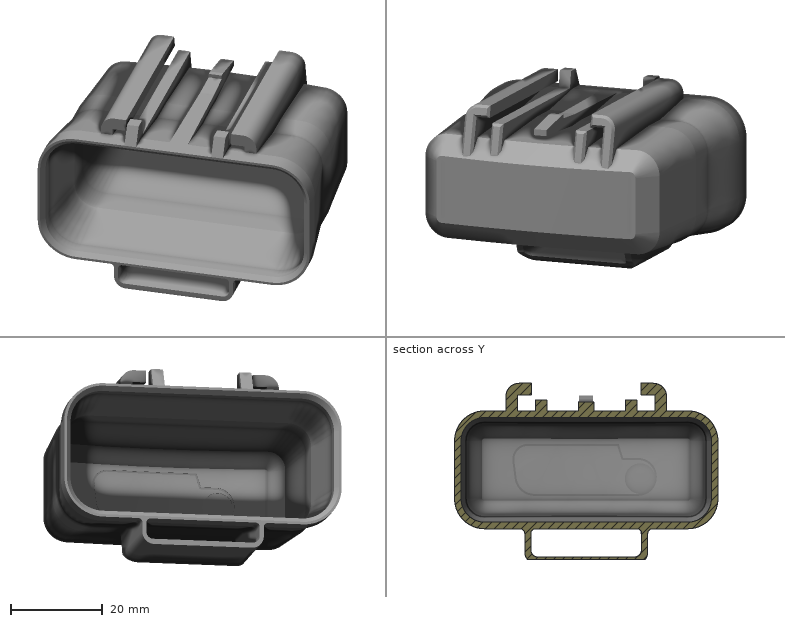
import cadquery as cq

CORE_WIDTH = 44.2
CORE_HEIGHT = 12.5
MOUTH_RADIUS = 8.6
WAIST_RADIUS = 6.65
LIP_LENGTH = 4.1
WAIST_START = 17.7
WAIST_END = 24.55
LENGTH = 48.0
END_DRAFT = 0.07
END_SAG = 1.3
END_CHAMFER = 3.85
WALL = 1.55
INNER_CHAMFER = 3.15
LEAD_IN = 1.0

BODY_TOP = CORE_HEIGHT / 2 + MOUTH_RADIUS
TOTAL_HEIGHT = 39.4
LOOP_BOTTOM = -20.5
TOP = LOOP_BOTTOM + TOTAL_HEIGHT

RAIL_ROOT = 7.05
REAR_LEAN = 0.25
REAR_TOP_Y = 44.15
REAR_EDGE_CHAMFER = 0.55
HOOK_OUTER_X = 17.55
HOOK_INNER_X = 11.85
HOOK_THICKNESS = 2.65
HOOK_RADIUS = 3.0
RIB_OUTER_X = 11.1
RIB_WIDTH = 2.65
RIB_TOP = 15.2
POST_BEVEL = 2.15
POST_END = 5.0
POST_RAMP = 0.6

RIDGE_FRONT_WIDTH = 4.1
RIDGE_REAR_WIDTH = 2.95
RIDGE_RISE_START = 27.55
RIDGE_STEP_START = 34.2
RIDGE_CREST_END = 35.3
RIDGE_REAR = LENGTH - END_CHAMFER
RIDGE_STEP_BASE_Z = 15.2
RIDGE_PEAK_Z = 16.1
RIDGE_REAR_Z = 14.6
RIDGE_TIP_Z = 13.25
RIDGE_ROOT_END = 29.5

LOOP_WIDTH = 26.9
LOOP_RADIUS = 2.65
LOOP_WALL = 0.9
LOOP_FLOOR = 1.15
SLOT_RADIUS = 1.5
SLOT_SIDE_TAPER = 0.6
SLOT_FLOOR_TAPER = 0.5
LOOP_ROOT_FILLET = 0.9
LOOP_REAR = 25.9
LOOP_BEND_Y = 23.95
LOOP_BEND_Z = -17.85
LOOP_FLAT_END = 19.45

MARK_DEPTH = 0.2
GROOVE_WIDTH = 0.4
LABEL_TOP = 5.6
LABEL_BOTTOM = -5.7
LABEL_LEFT_TOP = -16.5
LABEL_LEFT_BOTTOM = -15.05
LABEL_NOTCH_TOP = 7.1
LABEL_NOTCH_FOOT = 8.1
LABEL_NOTCH_Z = 2.5
LABEL_RIGHT = 15.4
LABEL_RIGHT_RADIUS = 4.05
LABEL_LEFT_TOP_RADIUS = 3.4
LABEL_LEFT_BOTTOM_RADIUS = 4.3
DIAL_X = 11.8
DIAL_Z = -1.95
DIAL_RADIUS = 3.3


def cross_plane(y):
    """Plane at Y = y with local x along X, local y along -Z and its normal along +Y."""
    return cq.Plane(origin=(0, y, 0), xDir=(1, 0, 0), normal=(0, 1, 0))


def section(radius):
    """Core rectangle grown by the radius, with that radius on its corners."""
    outline = cq.Sketch().rect(CORE_WIDTH + 2 * radius, CORE_HEIGHT + 2 * radius)
    return outline.vertices().fillet(radius)


def segment(y_start, radius_start, y_end, radius_end):
    """Straight or tapered length of shell between two sections."""
    far_section = section(radius_end).moved(cq.Location(cq.Vector(0, 0, y_end - y_start)))
    return cq.Workplane(cross_plane(y_start)).placeSketch(section(radius_start), far_section).loft()


def side_profile(points):
    """Closed (Y, Z) outline in the plane X = 0."""
    return cq.Workplane("YZ").polyline(points).close()


def shell_solid(inset, end_chamfer):
    """Solid bounded by the outer shell surface moved inward by the inset."""
    mouth = MOUTH_RADIUS - inset
    waist = WAIST_RADIUS - inset
    end_y = LENGTH - inset
    end_radius = waist - END_DRAFT * (LENGTH - WAIST_END)
    corner_y = end_y - END_SAG
    arc_radius = ((CORE_WIDTH / 2) ** 2 + END_SAG**2) / (2 * END_SAG)
    arc_trim = (
        cq.Workplane("XY", origin=(0, end_y - arc_radius, -BODY_TOP))
        .circle(arc_radius)
        .extrude(2 * BODY_TOP)
    )
    core_slab = cq.Workplane("XY").box(CORE_WIDTH, 2 * LENGTH, 2 * BODY_TOP)
    bulge = segment(WAIST_END, waist, LENGTH, end_radius).intersect(arc_trim)
    bulge = bulge.faces(">Y").chamfer(end_chamfer).intersect(core_slab)
    corner_radius = waist - END_DRAFT * (corner_y - WAIST_END)
    corners = segment(WAIST_END, waist, corner_y, corner_radius)
    corners = corners.faces(">Y").chamfer(end_chamfer).cut(core_slab)
    rear = bulge.union(corners)
    return (
        segment(0, mouth, LIP_LENGTH, mouth)
        .union(segment(LIP_LENGTH, mouth, WAIST_START, waist))
        .union(segment(WAIST_START, waist, WAIST_END, waist))
        .union(rear)
    )


def rear_y(z):
    """Y of the leaning rear plane of the rails at a height."""
    return REAR_TOP_Y + REAR_LEAN * (TOP - z)


def hook():
    """Hook rail on the -X side: a leg with a top flange turned toward the middle."""
    flange_z = TOP - HOOK_THICKNESS
    leg_inner_x = HOOK_OUTER_X - HOOK_THICKNESS
    rail = (
        cq.Workplane(cross_plane(LIP_LENGTH))
        .moveTo(-HOOK_OUTER_X, -RAIL_ROOT)
        .lineTo(-HOOK_OUTER_X, -(TOP - HOOK_RADIUS))
        .radiusArc((-(HOOK_OUTER_X - HOOK_RADIUS), -TOP), -HOOK_RADIUS)
        .lineTo(-HOOK_INNER_X, -TOP)
        .lineTo(-HOOK_INNER_X, -flange_z)
        .lineTo(-leg_inner_x, -flange_z)
        .lineTo(-leg_inner_x, -RAIL_ROOT)
        .close()
        .extrude(LENGTH)
    )
    side = side_profile(
        [(0, RAIL_ROOT), (0, TOP), (rear_y(TOP), TOP), (rear_y(RAIL_ROOT), RAIL_ROOT)]
    ).extrude(HOOK_OUTER_X, both=True)
    return rail.intersect(side).faces(">Y").chamfer(REAR_EDGE_CHAMFER)


def rib():
    """Straight rib on the -X side with a bevelled post at the mouth."""
    rail = side_profile(
        [
            (LIP_LENGTH, RAIL_ROOT),
            (LIP_LENGTH, RIB_TOP),
            (rear_y(RIB_TOP), RIB_TOP),
            (rear_y(RAIL_ROOT), RAIL_ROOT),
        ]
    ).extrude(RIB_WIDTH)
    rail = rail.faces(">Y").chamfer(REAR_EDGE_CHAMFER)
    post = side_profile(
        [
            (0, RAIL_ROOT),
            (0, BODY_TOP),
            (POST_BEVEL, TOP),
            (POST_END, TOP),
            (POST_END + POST_RAMP, RIB_TOP),
            (POST_END + POST_RAMP, RAIL_ROOT),
        ]
    ).extrude(RIB_WIDTH)
    return rail.union(post).translate((-RIB_OUTER_X, 0, 0))


def ridge():
    """Middle latch ridge, tapering toward the rear and stepping up to a sloped crest."""
    root_z = CORE_HEIGHT / 2 + WAIST_RADIUS - END_DRAFT * (RIDGE_ROOT_END - WAIST_END)
    side = side_profile(
        [
            (LIP_LENGTH, RAIL_ROOT),
            (LIP_LENGTH, BODY_TOP),
            (RIDGE_RISE_START, BODY_TOP),
            (RIDGE_STEP_START, RIDGE_STEP_BASE_Z),
            (RIDGE_STEP_START, RIDGE_PEAK_Z),
            (RIDGE_CREST_END, RIDGE_PEAK_Z),
            (RIDGE_REAR, RIDGE_REAR_Z),
            (RIDGE_REAR, RIDGE_TIP_Z),
            (RIDGE_ROOT_END, root_z),
            (RIDGE_ROOT_END, RAIL_ROOT),
        ]
    ).extrude(RIDGE_FRONT_WIDTH / 2, both=True)
    plan = (
        cq.Workplane("XY")
        .moveTo(-RIDGE_FRONT_WIDTH / 2, LIP_LENGTH)
        .lineTo(-RIDGE_REAR_WIDTH / 2, RIDGE_STEP_START)
        .lineTo(-RIDGE_REAR_WIDTH / 2, RIDGE_REAR)
        .lineTo(RIDGE_REAR_WIDTH / 2, RIDGE_REAR)
        .lineTo(RIDGE_REAR_WIDTH / 2, RIDGE_STEP_START)
        .lineTo(RIDGE_FRONT_WIDTH / 2, LIP_LENGTH)
        .close()
        .extrude(TOP)
    )
    return side.intersect(plan)


def both_sides(body):
    """The body joined with its mirror image across X = 0."""
    return body.union(body.mirror("YZ"))


def root_fillets(front_x, rear_x, direction):
    """Concave fillet between the shell underside and one face of the +X loop leg.

    The leg face runs from front_x at the mouth to rear_x at the loop end; direction is +1 on its
    outward side and -1 on its inward side.
    """
    stations = [
        (0, MOUTH_RADIUS),
        (LIP_LENGTH, MOUTH_RADIUS),
        (WAIST_START, WAIST_RADIUS),
        (WAIST_END, WAIST_RADIUS),
        (LOOP_REAR, WAIST_RADIUS - END_DRAFT * (LOOP_REAR - WAIST_END)),
    ]
    size = LOOP_ROOT_FILLET

    def corner_at(y, radius):
        leg_x = front_x + (rear_x - front_x) * y / LOOP_REAR
        arc_center = (direction * size / 2, size / 2)
        corner = cq.Sketch().rect(size, size).push([arc_center]).circle(size, mode="s")
        middle = cq.Vector(leg_x + direction * size / 2, CORE_HEIGHT / 2 + radius + size / 2, 0)
        return corner.reset().moved(cq.Location(middle))

    fillets = cq.Workplane()
    for (y_start, radius_start), (y_end, radius_end) in zip(stations, stations[1:]):
        far_corner = corner_at(y_end, radius_end).moved(cq.Location(cq.Vector(0, 0, y_end - y_start)))
        near = cq.Workplane(cross_plane(y_start)).placeSketch(corner_at(y_start, radius_start), far_corner)
        fillets = fillets.add(near.loft())
    return fillets.combine()


def strap_loop():
    """Strap loop, open along Y, rounded along its lower edges and cut back at the rear."""
    half_width = LOOP_WIDTH / 2
    slot_half_width = half_width - LOOP_WALL
    block = (
        cq.Workplane("XY", origin=(0, 0, LOOP_BOTTOM))
        .rect(LOOP_WIDTH, 2 * LENGTH)
        .extrude(-LOOP_BOTTOM)
        .edges("|Y and <Z")
        .fillet(LOOP_RADIUS)
    )
    outer_fillets = both_sides(root_fillets(half_width, half_width, 1))
    inner_fillets = both_sides(root_fillets(slot_half_width, slot_half_width - SLOT_SIDE_TAPER, -1))
    loop = block.union(outer_fillets).cut(slot().cut(inner_fillets))
    root_z = -CORE_HEIGHT / 2
    side = side_profile(
        [
            (0, LOOP_BOTTOM),
            (LOOP_FLAT_END, LOOP_BOTTOM),
            (LOOP_BEND_Y, LOOP_BEND_Z),
            (LOOP_REAR, -(CORE_HEIGHT / 2 + WAIST_RADIUS)),
            (LOOP_REAR, root_z),
            (0, root_z),
        ]
    ).extrude(LOOP_WIDTH, both=True)
    return loop.intersect(side)


def slot():
    """Tapered opening through the strap loop, running up to the underside of the shell."""
    half_width = LOOP_WIDTH / 2 - LOOP_WALL
    bottom = LOOP_BOTTOM + LOOP_FLOOR

    def opening(side_taper, floor_taper):
        height = -(bottom + floor_taper)
        outline = cq.Sketch().push([(0, height / 2)]).rect(2 * (half_width - side_taper), height)
        return outline.reset().vertices(">Y").fillet(SLOT_RADIUS)

    rear_offset = cq.Location(cq.Vector(0, 0, LOOP_REAR))
    rear_opening = opening(SLOT_SIDE_TAPER, SLOT_FLOOR_TAPER).moved(rear_offset)
    return cq.Workplane(cross_plane(0)).placeSketch(opening(0, 0), rear_opening).loft()


def label_groove():
    """Frame-shaped prism along the label outline on the inside of the closed end."""
    corners = [
        (LABEL_LEFT_TOP, LABEL_TOP),
        (LABEL_NOTCH_TOP, LABEL_TOP),
        (LABEL_NOTCH_FOOT, LABEL_NOTCH_Z),
        (LABEL_RIGHT, LABEL_NOTCH_Z),
        (LABEL_RIGHT, LABEL_BOTTOM),
        (LABEL_LEFT_BOTTOM, LABEL_BOTTOM),
    ]
    start = cq.Workplane("XZ", origin=(0, WAIST_END, 0))
    plate = start.polyline(corners).close().extrude(WAIST_END - LENGTH)
    middle_y = (WAIST_END + LENGTH) / 2
    plate = plate.edges("|Y and >X").fillet(LABEL_RIGHT_RADIUS)
    left_corners = ((corners[0], LABEL_LEFT_TOP_RADIUS), (corners[-1], LABEL_LEFT_BOTTOM_RADIUS))
    for (x, z), radius in left_corners:
        corner_edge = cq.selectors.NearestToPointSelector((x, middle_y, z))
        plate = plate.edges("|Y").edges(corner_edge).fillet(radius)
    inside = plate.faces("<Y").wires().toPending().offset2D(-GROOVE_WIDTH)
    return plate.cut(inside.extrude(WAIST_END - LENGTH, combine=False))


def dial():
    """Cylinder of the round dial recess on the inside of the closed end."""
    start = cq.Workplane("XZ", origin=(DIAL_X, WAIST_END, DIAL_Z))
    return start.circle(DIAL_RADIUS).extrude(WAIST_END - LENGTH)


outer = shell_solid(0, END_CHAMFER)
shell = outer.union(strap_loop().cut(outer))
rails = both_sides(hook()).union(both_sides(rib())).union(ridge())
cavity = shell_solid(WALL, INNER_CHAMFER)
lead_in = segment(0, MOUTH_RADIUS - WALL + LEAD_IN, LEAD_IN, MOUTH_RADIUS - WALL)
end_marks = label_groove().union(dial()).intersect(shell_solid(WALL - MARK_DEPTH, INNER_CHAMFER))
result = shell.union(rails).cut(cavity).cut(lead_in).cut(end_marks)